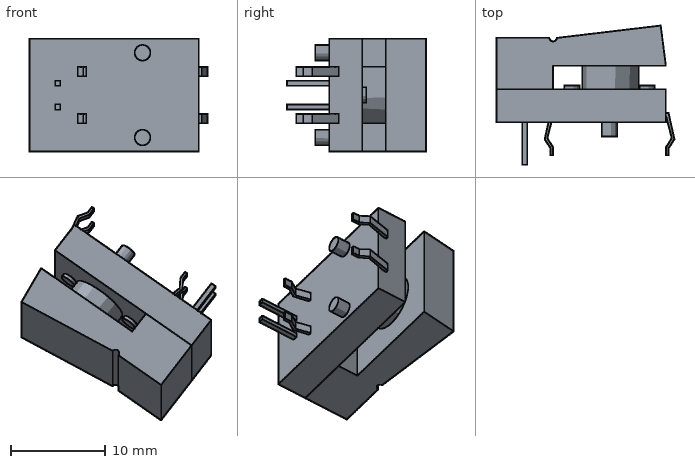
import cadquery as cq


overall_length = 18.9
overall_depth = 14.8

base_length = 18.0
base_depth = 3.53
part_height = 12.0

post_diameter = 1.66
post_length = 1.5
post_x = 12.0
post_offset_z = 4.5
boss_height = 0.4
boss_spacing = 7.98

plunger_diameter = 6.03
plunger_x = 12.11

pin_width = 0.55
pin_length = 4.5
pin_x = 3.0
pin_offset_z = 1.27

leg_width = 1.0
leg_thickness = 0.28
leg_length = 3.5
leg_reach = overall_length - base_length
leg_top = 1.02
leg_embed = 0.1
leg_offset_z = 2.5
elbow_outer_y = -1.78
elbow_inner_y = -1.66
elbow_inner_reach = 0.6
knee_outer_y = -2.74
knee_inner_y = -2.63

hinge_x = 6.01
gap_depth = 2.48
block_depth = 5.48
notch_radius = 0.4
tip_x = 17.45
tip_y = overall_depth - pin_length
key_back_y = base_depth + block_depth
lever_start_y = key_back_y - 0.08
gap_y = base_depth + gap_depth


def cylinder_along_y(x, z, start_y, diameter, length):
    """Cylinder that starts at start_y and runs toward +Y."""
    axis_start = cq.Vector(x, start_y, z)
    return cq.Workplane(cq.Solid.makeCylinder(diameter / 2, length, axis_start, cq.Vector(0, 1, 0)))


def make_pin(z):
    """Square pin on the mounting face."""
    return cq.Workplane().box(pin_width, pin_length, pin_width).translate((pin_x, -pin_length / 2, z))


def make_leg(face_x, direction, z):
    """Bent leg whose tail is flush with face_x and whose elbow bulges in direction (+1 or -1)."""
    profile = [
        (0, -leg_length),
        (leg_thickness, -leg_length),
        (leg_thickness, knee_outer_y),
        (leg_reach, elbow_outer_y),
        (leg_thickness, leg_top),
        (-leg_embed, leg_top),
        (elbow_inner_reach, elbow_inner_y),
        (0, knee_inner_y),
    ]
    points = [(face_x + direction * reach, y) for reach, y in profile]
    return cq.Workplane().polyline(points).close().extrude(leg_width / 2, both=True).translate((0, 0, z))


def make_base():
    """Base block with its plunger, bosses, posts, pins and legs."""
    body = cq.Workplane().box(base_length, base_depth, part_height)
    body = body.translate((base_length / 2, base_depth / 2, 0))
    body = body.union(cylinder_along_y(plunger_x, 0, base_depth, plunger_diameter, gap_depth))
    for side in (-1, 1):
        boss_x = post_x + side * boss_spacing / 2
        body = body.union(cylinder_along_y(boss_x, 0, base_depth, post_diameter, boss_height))
        body = body.union(cylinder_along_y(post_x, side * post_offset_z, -post_length, post_diameter, post_length))
        body = body.union(make_pin(side * pin_offset_z))
        body = body.union(make_leg(hinge_x, -1, side * leg_offset_z))
        body = body.union(make_leg(base_length, 1, side * leg_offset_z))
    return body


def make_key():
    """Fixed block and tapered lever, thinned by a round notch at the hinge."""
    outline = [
        (0, base_depth),
        (hinge_x, base_depth),
        (hinge_x, gap_y),
        (base_length, gap_y),
        (tip_x, tip_y),
        (hinge_x, lever_start_y),
        (hinge_x, key_back_y),
        (0, key_back_y),
    ]
    body = cq.Workplane().polyline(outline).close().extrude(part_height / 2, both=True)
    notch = cq.Workplane().center(hinge_x, key_back_y).circle(notch_radius)
    return body.cut(notch.extrude(part_height / 2, both=True))


base = make_base()
key = make_key()
result = cq.Compound.makeCompound([base.solids().val(), key.solids().val()])